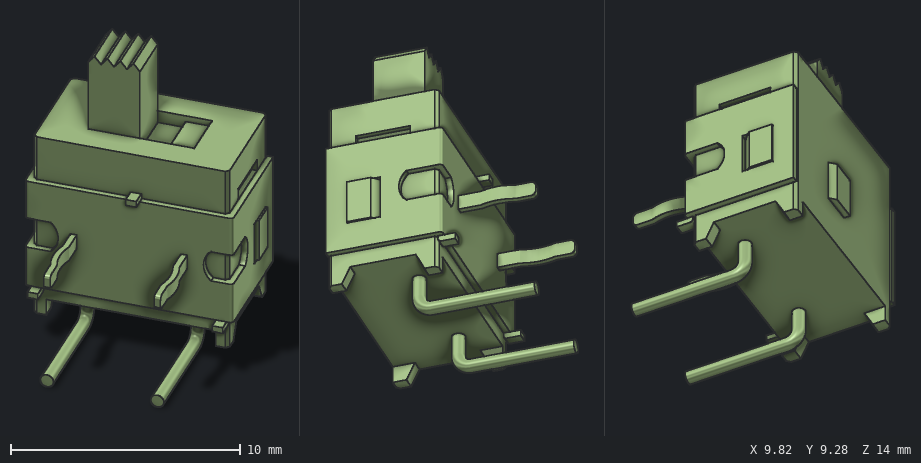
import cadquery as cq
import math


housing_width = 9.02
housing_depth = 5.1
housing_height = 9.09
corner_chamfer = 0.15
foot_width = 0.6
foot_length = 0.65
foot_height = 0.8
foot_flare = 0.39

slot_length = 4.9
slot_width = 2.4
slot_ledge_depth = 0.3
slot_depth = 0.6
slot_ledge_start = 1.23

side_recess_length = 2.52
side_recess_height = 0.56
side_recess_depth = 0.25

snap_length = 1.51
snap_bottom = 2.88
snap_height = 2.05
back_snap_height = 0.3
snap_proud = 0.1
side_snap_start = 1.54

sheet = 0.3
bracket_bottom = 1.54
bracket_height = 5.36
bracket_corner_radius = 0.17
tab_width = 0.49
top_tab_overhang = 0.46
bottom_tab_overhang = 0.5
tab_bend_radius = 0.14
top_tab_left = 0.01

corner_window_height = 1.5
corner_window_bulge = 0.35
window_reach_left = 1.54
window_reach_right = 1.36
window_reach_y = 2.0

prong_height = 0.7
prong_tip_radius = 0.22
prong_middle = 4.25
kink_start = 1.04
kink_length = 1.62
kink_rise = 0.14

pin_spacing = 5.1
pin_diameter = 0.62
pin_y = -1.0
pin_bend_radius = 0.6
pin_drop = 1.12
lead_reach = 3.58

knob_length = slot_width
knob_rise = 3.8
tooth_count = 4
tooth_height = 0.36

housing_side = housing_width / 2
housing_back = housing_depth / 2
housing_front = -housing_back
bracket_side = housing_side + sheet
bracket_front = housing_front - sheet
bracket_top = bracket_bottom + bracket_height
lead_end = bracket_front - lead_reach
slot_floor = housing_height - slot_depth
side_snap_height = sheet + snap_proud
side_signs = (-1, 1)


def block(x, y, z):
    """Box between the (low, high) limits given for each axis."""
    return (
        cq.Workplane("XY")
        .box(x[1] - x[0], y[1] - y[0], z[1] - z[0], centered=False)
        .translate((x[0], y[0], z[0]))
    )


def housing_block():
    return (
        cq.Workplane("XY")
        .rect(housing_width, housing_depth)
        .extrude(housing_height)
        .edges("|Z")
        .chamfer(corner_chamfer)
    )


def foot_gaps():
    """Straight channel along Y and a tapered channel along X, leaving four feet."""
    channel_half = housing_side - foot_width
    channel = block((-channel_half, channel_half), (housing_front, housing_back), (0, foot_height))
    gap_half = housing_back - foot_length
    tapered = (
        cq.Workplane("YZ")
        .polyline([
            (-gap_half, 0),
            (gap_half, 0),
            (gap_half - foot_flare, foot_height),
            (foot_flare - gap_half, foot_height),
        ])
        .close()
        .extrude(housing_side, both=True)
    )
    return channel.union(tapered)


def slider_slot():
    """Slot in the housing top, shallower over the ledge at the +X end."""
    slot_end = slot_length / 2
    y_limits = (-slot_width / 2, slot_width / 2)
    shallow = block((-slot_end, slot_end), y_limits, (housing_height - slot_ledge_depth, housing_height))
    deep = block((-slot_end, slot_ledge_start), y_limits, (slot_floor, housing_height))
    return shallow.union(deep)


def side_recess(sign):
    return cq.Workplane("XY").box(
        2 * side_recess_depth, side_recess_length, side_recess_height
    ).translate((sign * housing_side, 0, bracket_top + side_recess_height / 2))


def snap_wedge(start, direction, surface, height):
    """Snap outline as (along the surface, across it) points, with a 45 degree ramp at the far end."""
    return [
        (start, surface),
        (start + direction * snap_length, surface),
        (start + direction * (snap_length - abs(height)), surface + height),
        (start, surface + height),
    ]


def snap(outline):
    return (
        cq.Workplane("XY", origin=(0, 0, snap_bottom)).polyline(outline).close().extrude(snap_height)
    )


def back_snap():
    return snap(snap_wedge(0, 1, housing_back, back_snap_height))


def side_snap(sign):
    wedge = snap_wedge(side_snap_start, -1, sign * housing_side, sign * side_snap_height)
    return snap([(x, y) for y, x in wedge])


def make_housing():
    body = housing_block().cut(foot_gaps()).cut(slider_slot()).union(back_snap())
    for sign in side_signs:
        body = body.cut(side_recess(sign)).union(side_snap(sign))
    return body


def bracket_shell():
    """Sheet wrapped around the housing front and both sides."""
    outer = (
        block((-bracket_side, bracket_side), (bracket_front, housing_back), (bracket_bottom, bracket_top))
        .edges("|Z and <Y")
        .fillet(bracket_corner_radius)
    )
    back_opening = block((-housing_side, housing_side), (0, housing_back), (bracket_bottom, bracket_top))
    return outer.cut(housing_block()).cut(back_opening)


def window_outline(plane, origin, tip, base):
    """Window from a straight open end at base to a rounded end whose apex is at tip."""
    half = corner_window_height / 2
    shoulder = tip - math.copysign(corner_window_bulge, tip - base)
    return (
        cq.Workplane(plane, origin=origin)
        .moveTo(base, -half)
        .lineTo(shoulder, -half)
        .threePointArc((tip, 0), (shoulder, half))
        .lineTo(base, half)
        .close()
    )


def corner_window(sign):
    """Opening around a front corner of the bracket, deep enough to clear the chamfered inner corner."""
    depth = sheet + corner_chamfer
    reach = window_reach_left if sign < 0 else window_reach_right
    front_part = window_outline(
        "XZ", (0, bracket_front, prong_middle), sign * (bracket_side - reach), sign * bracket_side
    ).extrude(-depth)
    side_part = window_outline(
        "YZ", (sign * bracket_side, 0, prong_middle), bracket_front + window_reach_y, bracket_front
    ).extrude(-sign * depth)
    return front_part.union(side_part)


def snap_window(sign):
    return block(
        sorted((sign * housing_side, sign * bracket_side)),
        (side_snap_start - snap_length, side_snap_start),
        (snap_bottom, snap_bottom + snap_height),
    )


def tab(left, bottom, overhang, bend_edge):
    """Stand-off tab with the edge beside the housing rounded by the bend."""
    return (
        block(
            (left, left + tab_width),
            (bracket_front - overhang, housing_front),
            (bottom, bottom + sheet),
        )
        .edges(bend_edge)
        .fillet(tab_bend_radius)
    )


def prong(sign):
    """Board prong with a sideways kink towards its own side and a rounded tip."""
    middle = sign * pin_spacing / 2
    near = middle - sign * sheet / 2
    far = middle + sign * sheet / 2
    kink_near_y = bracket_front - kink_start
    kink_middle_y = kink_near_y - kink_length / 2
    kink_far_y = kink_near_y - kink_length
    rise = sign * kink_rise
    strip = (
        cq.Workplane("XY", origin=(0, 0, prong_middle - prong_height / 2))
        .moveTo(near, bracket_front)
        .lineTo(near, kink_near_y)
        .threePointArc((near + rise, kink_middle_y), (near, kink_far_y))
        .lineTo(near, lead_end)
        .lineTo(far, lead_end)
        .lineTo(far, kink_far_y)
        .threePointArc((far + rise, kink_middle_y), (far, kink_near_y))
        .lineTo(far, bracket_front)
        .close()
        .extrude(prong_height)
    )
    return strip.edges("|X and <Y").fillet(prong_tip_radius)


def make_bracket():
    body = bracket_shell().union(tab(top_tab_left, bracket_top, top_tab_overhang, ">Y and >Z"))
    for tab_left in (-housing_side, housing_side - tab_width):
        body = body.union(tab(tab_left, bracket_bottom - sheet, bottom_tab_overhang, ">Y and <Z"))
    for sign in side_signs:
        body = body.cut(corner_window(sign)).cut(snap_window(sign)).union(prong(sign))
    return body


def make_slider():
    """Knob standing in the slot at its -X end, with a row of grip teeth on top."""
    left = -slot_length / 2
    pitch = knob_length / tooth_count
    peak = housing_height + knob_rise
    valley = peak - tooth_height
    outline = [(left, slot_floor), (left, valley)]
    for tooth in range(tooth_count):
        tooth_left = left + tooth * pitch
        outline.append((tooth_left + pitch / 2, peak))
        outline.append((tooth_left + pitch, valley))
    outline.append((left + knob_length, slot_floor))
    return cq.Workplane("XZ").polyline(outline).close().extrude(slot_width / 2, both=True)


def make_pin(x):
    """Round wire that leaves the housing underside and bends towards -Y."""
    lead_z = pin_diameter / 2 - pin_drop
    bend_offset = pin_bend_radius * (1 - math.sqrt(0.5))
    path = (
        cq.Workplane("YZ", origin=(x, 0, 0))
        .moveTo(pin_y, foot_height)
        .lineTo(pin_y, lead_z + pin_bend_radius)
        .threePointArc(
            (pin_y - bend_offset, lead_z + bend_offset),
            (pin_y - pin_bend_radius, lead_z),
        )
        .lineTo(lead_end, lead_z)
    )
    return (
        cq.Workplane("XY", origin=(x, pin_y, foot_height)).circle(pin_diameter / 2).sweep(path)
    )


housing = make_housing()
bracket = make_bracket()
slider = make_slider()
pins = [make_pin(sign * pin_spacing / 2) for sign in side_signs]

result = cq.Compound.makeCompound([
    housing.val(),
    bracket.val(),
    slider.val(),
    *[pin.val() for pin in pins],
])